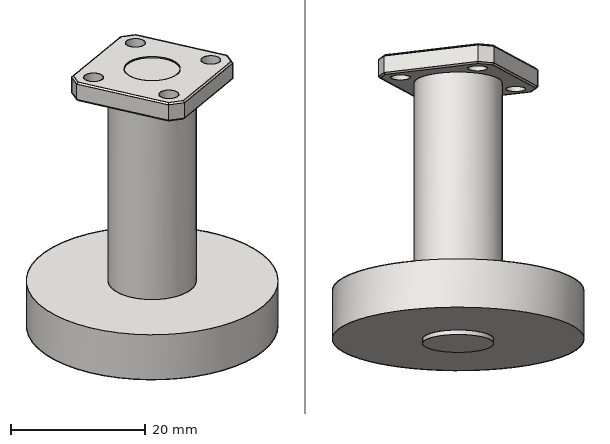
import cadquery as cq

overall_height = 43.18
disc_diameter = 37.59
disc_thickness = 7.45
spigot_diameter = 10.6
spigot_height = 0.69

column_diameter = 13.2

flange_width = 19.05
flange_thickness = 3.05
corner_chamfer = 1.78
edge_chamfer = 0.254

hole_diameter = 2.95
hole_spacing_x = 12.7
hole_spacing_y = 13.46
recess_diameter = 8.36
recess_depth = 0.2

disc_top = spigot_height + disc_thickness
flange_bottom = overall_height - flange_thickness


def cylinder(diameter, bottom, top):
    """Upright cylinder on the Z axis between two heights."""
    return cq.Workplane("XY").workplane(offset=bottom).circle(diameter / 2).extrude(top - bottom)


def make_flange():
    """Square plate with cut corners and chamfered top and bottom edges."""
    plate = (
        cq.Workplane("XY")
        .workplane(offset=flange_bottom)
        .rect(flange_width, flange_width)
        .extrude(flange_thickness)
    )
    plate = plate.edges("|Z").chamfer(corner_chamfer)
    return plate.faces("<Z or >Z").edges().chamfer(edge_chamfer)


def make_flange_holes():
    """Four cylinders that pass through the flange."""
    return (
        cq.Workplane("XY")
        .workplane(offset=flange_bottom)
        .rect(hole_spacing_x, hole_spacing_y, forConstruction=True)
        .vertices()
        .circle(hole_diameter / 2)
        .extrude(flange_thickness)
    )


spigot = cylinder(spigot_diameter, 0, spigot_height)
disc = cylinder(disc_diameter, spigot_height, disc_top)
column = cylinder(column_diameter, disc_top, flange_bottom)
recess = cylinder(recess_diameter, overall_height - recess_depth, overall_height)

body = spigot.union(disc).union(column).union(make_flange())
result = body.cut(make_flange_holes()).cut(recess)